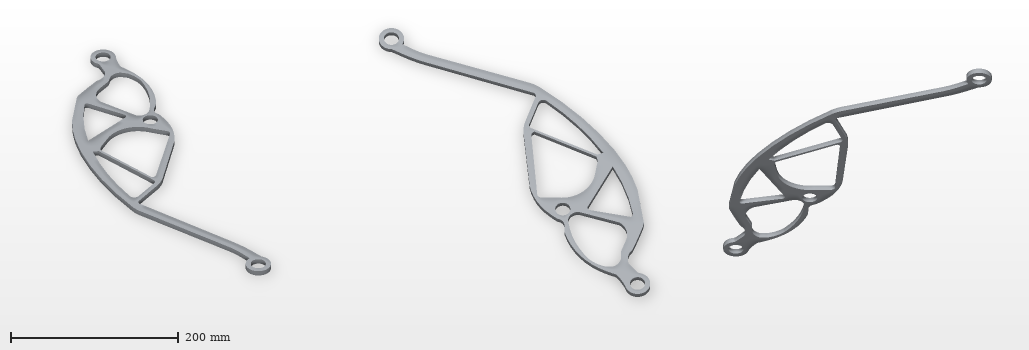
import cadquery as cq

THICKNESS = 6.5
LENGTH = 490.0
HOLE_DIAMETER = 18.0
EYE_DIAMETER = 30.5
EYE_SPACING = LENGTH - EYE_DIAMETER
MIDDLE_HOLE_X = 139.5
CROWN_Y = 27.0
BELLY_Y = -103.5


def plate(outline):
    """Close an outline and extrude it through the plate thickness."""
    return outline.close().extrude(THICKNESS)


def discs(diameter, centres_x):
    """Full-thickness discs on the line through the eye centres."""
    centres = [(x, 0) for x in centres_x]
    return cq.Workplane("XY").pushPoints(centres).circle(diameter / 2).extrude(THICKNESS)


def frame_body():
    """Outer shape of the frame and its rear arm, without the eyes."""
    top_edge = (
        cq.Workplane("XY")
        .moveTo(3.0, 14.5)
        .threePointArc((12.5, 12.2), (23.0, 11.5))
        .threePointArc((27.0, 12.0), (30.5, 13.5))
        .lineTo(38.0, 17.5)
        .threePointArc((75.5, CROWN_Y), (112.5, 19.5))
        .lineTo(120.0, 13.5)
        .threePointArc((126.5, 11.5), (133.0, 13.5))
        .threePointArc((138.0, 15.0), (144.0, 16.0))
        .threePointArc((168.0, 16.5), (190.0, 9.5))
        .lineTo(250.5, -32.0)
        .threePointArc((258.5, -38.0), (265.0, -46.0))
        .lineTo(284.0, -78.0)
        .threePointArc((287.5, -81.0), (292.5, -79.5))
        .lineTo(406.5, -10.0)
        .threePointArc((419.0, -3.0), (431.5, 3.0))
        .lineTo(447.5, 9.5)
        .lineTo(EYE_SPACING, 0)
    )
    outline = (
        top_edge
        .lineTo(445.0, -5.0)
        .lineTo(430.5, -10.5)
        .threePointArc((420.0, -15.0), (409.0, -21.5))
        .lineTo(304.0, -86.5)
        .threePointArc((299.0, -89.0), (293.0, -91.0))
        .spline([(242.5, -100.5), (191.0, BELLY_Y), (149.0, -100.0), (104.0, -86.5)], includeCurrent=True)
        .lineTo(66.0, -64.0)
        .threePointArc((62.0, -61.5), (59.5, -58.5))
        .lineTo(50.0, -42.5)
        .lineTo(41.0, -26.5)
        .threePointArc((36.5, -15.0), (28.5, -10.5))
        .lineTo(14.0, -10.5)
        .threePointArc((9.5, -11.5), (4.5, -14.0))
        .lineTo(0, 0)
    )
    return plate(outline)


def front_window():
    """Large rounded opening under the front arch."""
    outline = (
        cq.Workplane("XY")
        .moveTo(37.0, 6.0)
        .lineTo(42.5, 13.0)
        .threePointArc((54.0, 19.5), (63.5, 22.0))
        .threePointArc((93.0, 19.0), (121.0, 7.0))
        .threePointArc((127.5, -4.0), (124.0, -12.2))
        .lineTo(81.5, -39.5)
        .threePointArc((69.5, -39.5), (57.5, -30.5))
        .lineTo(48.0, -14.0)
        .lineTo(43.5, -11.0)
        .threePointArc((37.5, -3.5), (37.0, 6.0))
    )
    return plate(outline)


def lower_window():
    """Triangular opening above the lower edge."""
    outline = (
        cq.Workplane("XY")
        .moveTo(80.0, -54.5)
        .lineTo(117.0, -24.5)
        .threePointArc((121.0, -23.5), (123.5, -26.0))
        .lineTo(148.5, -85.2)
        .threePointArc((113.0, -75.5), (80.0, -60.0))
        .threePointArc((78.5, -57.5), (80.0, -54.5))
    )
    return plate(outline)


def rear_window():
    """Opening between the curved post, the sloping brace and the thin strut."""
    outline = (
        cq.Workplane("XY")
        .moveTo(169.0, 9.5)
        .threePointArc((173.0, 11.0), (176.5, 9.5))
        .lineTo(246.0, -39.5)
        .threePointArc((247.5, -42.5), (247.0, -45.5))
        .lineTo(172.0, -79.5)
        .threePointArc((167.0, -77.0), (162.5, -72.5))
        .lineTo(154.0, -62.0)
        .threePointArc((143.5, -35.0), (156.5, -6.0))
        .lineTo(169.0, 9.5)
    )
    return plate(outline)


def tail_window():
    """Opening between the thin strut and the lower edge."""
    outline = (
        cq.Workplane("XY")
        .moveTo(173.0, -82.5)
        .lineTo(253.0, -46.0)
        .threePointArc((256.5, -45.5), (259.5, -48.5))
        .lineTo(276.0, -75.5)
        .threePointArc((276.5, -81.5), (270.5, -85.2))
        .threePointArc((220.5, -91.0), (170.5, -89.0))
        .lineTo(172.0, -86.0)
        .lineTo(173.0, -82.5)
    )
    return plate(outline)


result = frame_body().union(discs(EYE_DIAMETER, [0, EYE_SPACING]))
for window in (front_window(), lower_window(), rear_window(), tail_window()):
    result = result.cut(window)
result = result.cut(discs(HOLE_DIAMETER, [0, MIDDLE_HOLE_X, EYE_SPACING]))